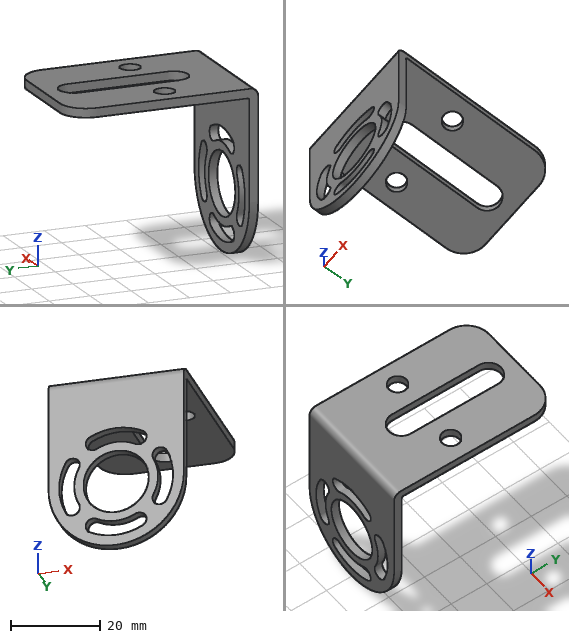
import cadquery as cq
import math

width = 31.75
depth = 45.7
height = 42.55
thickness = 2.2
bend_outer_radius = 1.9
bend_inner_radius = 0.45

corner_radius = 6.3
slot_length = 31.5
slot_width = 7.05
slot_back_margin = 3.8
screw_hole_diameter = 4.85
screw_hole_spacing = 19.9
screw_hole_y = depth - 25.37

end_radius = width / 2
bore_z = end_radius - height
bore_diameter = 15.25
arc_slot_outer_radius = 13.35
arc_slot_inner_radius = 9.85
arc_slot_half_angle = 27.5
arc_slot_count = 4


def polar(radius, degrees):
    angle = math.radians(degrees)
    return (radius * math.cos(angle), radius * math.sin(angle))


def bent_sheet():
    """L-shaped sheet with a rounded bend along X."""
    profile = (
        cq.Workplane("YZ")
        .polyline([
            (0, 0),
            (depth, 0),
            (depth, -thickness),
            (thickness, -thickness),
            (thickness, -height),
            (0, -height),
        ])
        .close()
        .extrude(width / 2, both=True)
    )
    outer_edge = cq.selectors.NearestToPointSelector((0, 0, 0))
    inner_edge = cq.selectors.NearestToPointSelector((0, thickness, -thickness))
    sheet = profile.edges("|X").edges(outer_edge).fillet(bend_outer_radius)
    return sheet.edges("|X").edges(inner_edge).fillet(bend_inner_radius)


def round_flange_ends(sheet):
    """Round the back corners and the full-width lower end."""
    rounded = sheet.edges("|Z and >Y").fillet(corner_radius)
    blank = (
        cq.Workplane("XZ")
        .moveTo(-end_radius, 0)
        .lineTo(end_radius, 0)
        .lineTo(end_radius, bore_z)
        .threePointArc((0, -height), (-end_radius, bore_z))
        .close()
        .extrude(-depth)
    )
    return rounded.intersect(blank)


def horizontal_flange_cutters():
    slot_y = depth - slot_back_margin - slot_length / 2
    slot = (
        cq.Workplane("XY", origin=(0, slot_y, 0))
        .slot2D(slot_length, slot_width, 90)
        .extrude(-thickness)
    )
    screw_holes = (
        cq.Workplane("XY", origin=(0, screw_hole_y, 0))
        .pushPoints([(-screw_hole_spacing / 2, 0), (screw_hole_spacing / 2, 0)])
        .circle(screw_hole_diameter / 2)
        .extrude(-thickness)
    )
    return slot.union(screw_holes)


def arc_slot(mid_angle):
    """Curved slot about the bore axis with semicircular ends."""
    start = mid_angle - arc_slot_half_angle
    end = mid_angle + arc_slot_half_angle
    mid_radius = (arc_slot_outer_radius + arc_slot_inner_radius) / 2
    cap_radius = (arc_slot_outer_radius - arc_slot_inner_radius) / 2

    def cap_tip(centre_angle, side):
        x, y = polar(mid_radius, centre_angle)
        dx, dy = polar(cap_radius, centre_angle + side * 90)
        return (x + dx, y + dy)

    return (
        cq.Workplane("XZ", origin=(0, 0, bore_z))
        .moveTo(*polar(arc_slot_outer_radius, start))
        .threePointArc(polar(arc_slot_outer_radius, mid_angle), polar(arc_slot_outer_radius, end))
        .threePointArc(cap_tip(end, 1), polar(arc_slot_inner_radius, end))
        .threePointArc(polar(arc_slot_inner_radius, mid_angle), polar(arc_slot_inner_radius, start))
        .threePointArc(cap_tip(start, -1), polar(arc_slot_outer_radius, start))
        .close()
        .extrude(-thickness)
    )


def vertical_flange_cutters():
    cutters = (
        cq.Workplane("XZ", origin=(0, 0, bore_z))
        .circle(bore_diameter / 2)
        .extrude(-thickness)
    )
    for index in range(arc_slot_count):
        cutters = cutters.union(arc_slot(index * 360 / arc_slot_count))
    return cutters


result = (
    round_flange_ends(bent_sheet())
    .cut(horizontal_flange_cutters())
    .cut(vertical_flange_cutters())
)